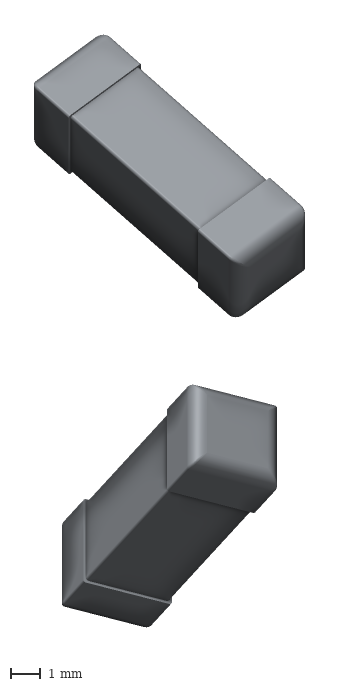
import cadquery as cq

length = 10.5
cap_width = 3.3
cap_length = 2.04
body_width = 3.11
end_radius = 0.5
cap_edge_radius = 0.09
body_edge_radius = 0.1

end_thickness = end_radius
body_length = length - 2 * end_thickness


def make_body():
    """Square bar with rounded long edges, centred on the origin."""
    bar = cq.Workplane("XY").box(body_length, body_width, body_width)
    return bar.edges("|X").fillet(body_edge_radius)


def make_cap(side, body):
    """End cap with a socket for the body; side is -1 or +1 along X."""
    center_x = side * (length - cap_length) / 2
    block = cq.Workplane("XY").box(cap_length, cap_width, cap_width)
    end_face = ">X" if side > 0 else "<X"
    block = block.faces(end_face).edges().fillet(end_radius)
    block = block.edges("|X").fillet(cap_edge_radius)
    return block.translate((center_x, 0, 0)).cut(body)


body = make_body()
caps = [make_cap(side, body) for side in (-1, 1)]

result = cq.Compound.makeCompound([body.val(), *[cap.val() for cap in caps]])